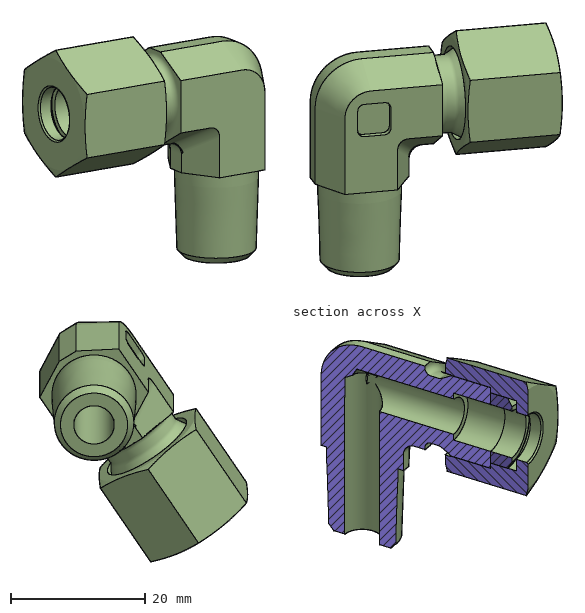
import cadquery as cq
import math


overall_length = 36.22

body_width = 14.0
body_depth = 14.45
arm_end = 10.97
shank_end = 12.0
inner_corner_radius = 2.0
bore_diameter = 6.0
bore_overrun = 0.95
drill_point_angle = 118

pocket_size = 5.1
pocket_corner_radius = 1.0
pocket_depth = 1.0
pocket_center_y = -0.47
pocket_center_z = -0.55

thread_diameter = 12.55
thread_straight_end = 14.05
thread_chamfer_start = 25.0
thread_end = 26.0
thread_tip_diameter = 10.0
thread_taper = 1 / 16

neck_diameter = 11.7
neck_fillet_radius = 1.0
neck_straight_end = 13.33
stud_cone_angle = 30
stud_diameter = 14.0
stud_end = 22.45
tube_stop = 16.0

nut_across_flats = 17.0
nut_start = 14.5
nut_end = overall_length - body_depth / 2
nut_chamfer_angle = 15
tube_hole_diameter = 8.0
tube_hole_mouth_diameter = 8.5
tube_hole_length = 2.1

ferrule_diameter = 12.0
ferrule_face_diameter = 9.6
ferrule_setback = 0.72
ferrule_bevel_angle = 30

corner_margin = 0.18

tube_hole_end = nut_end - tube_hole_length
ferrule_front = tube_hole_end - ferrule_setback


def slope(angle):
    return math.tan(math.radians(angle))


def turned_along_y(points):
    """Solid of revolution about Y from (radius, y) points."""
    return cq.Workplane("XY").polyline(points).close().revolve(360, (0, 0), (0, 1))


def cylinder_along_y(diameter, start, end):
    """Cylinder on the -Y axis between two distances from the origin."""
    return cq.Workplane("XZ").workplane(offset=start).circle(diameter / 2).extrude(end - start)


def arm_section_points():
    """Hexagon with its two points cut off, the points lying along local Y."""
    half_width = body_width / 2
    half_depth = body_depth / 2
    edge = half_width / math.sqrt(3)
    flat = (2 * edge - half_depth) * math.sqrt(3)
    upper = [(half_width, edge), (flat, half_depth), (-flat, half_depth), (-half_width, edge)]
    lower = [(-x, -y) for x, y in upper]
    return upper, lower


def make_elbow_block():
    upper, lower = arm_section_points()
    half_width = body_width / 2
    horizontal = cq.Workplane("XZ").polyline(upper + lower).close().extrude(arm_end)
    vertical = cq.Workplane("XY").polyline(upper + lower).close().extrude(-shank_end)
    half_section = [(half_width, 0)] + upper + [(-half_width, 0)]
    outer_corner = cq.Workplane("XY").polyline(half_section).close().revolve(90, (0, 0), (1, 0))
    block = horizontal.union(vertical).union(outer_corner)
    return fillet_inner_corner(block)


def fillet_inner_corner(block):
    """Round the mitred edges where the undersides of the two arms meet."""
    below_side_edges = -(body_width / 2 / math.sqrt(3) + corner_margin)
    below_flats = -(body_depth / 2 + corner_margin)
    mitre_edges = cq.selectors.BoxSelector(
        (-body_width, below_flats, below_flats),
        (body_width, below_side_edges, below_side_edges),
    )
    return block.edges(mitre_edges).fillet(inner_corner_radius)


def make_thread():
    taper_length = thread_chamfer_start - thread_straight_end
    straight_radius = thread_diameter / 2
    small_radius = straight_radius - taper_length * thread_taper / 2
    profile = [
        (0, 0),
        (straight_radius, 0),
        (straight_radius, -thread_straight_end),
        (small_radius, -thread_chamfer_start),
        (thread_tip_diameter / 2, -thread_end),
        (0, -thread_end),
    ]
    return cq.Workplane("XZ").polyline(profile).close().revolve(360, (0, 0), (0, 1))


def make_neck_and_stud():
    neck_radius = neck_diameter / 2
    stud_radius = stud_diameter / 2
    radius = neck_fillet_radius
    half_turn = math.radians(stud_cone_angle / 2)
    turn = math.radians(stud_cone_angle)

    fillet_middle = (
        neck_radius + radius * (1 - math.cos(half_turn)),
        -neck_straight_end - radius * math.sin(half_turn),
    )
    cone_start = (
        neck_radius + radius * (1 - math.cos(turn)),
        -neck_straight_end - radius * math.sin(turn),
    )
    cone_end_y = cone_start[1] - (stud_radius - cone_start[0]) / slope(stud_cone_angle)

    quarter_bow = radius * (1 - math.sqrt(0.5))
    quarter_end_y = -arm_end - radius
    return (
        cq.Workplane("XY")
        .moveTo(0, -arm_end)
        .lineTo(neck_radius + radius, -arm_end)
        .threePointArc(
            (neck_radius + quarter_bow, -arm_end - quarter_bow),
            (neck_radius, quarter_end_y),
        )
        .lineTo(neck_radius, -neck_straight_end)
        .threePointArc(fillet_middle, cone_start)
        .lineTo(stud_radius, cone_end_y)
        .lineTo(stud_radius, -stud_end)
        .lineTo(0, -stud_end)
        .close()
        .revolve(360, (0, 0), (0, 1))
    )


def make_drilled_bore(plane, start):
    """Bore along local Y from -start to past the origin, with a drill-point end."""
    radius = bore_diameter / 2
    tip = bore_overrun + radius / slope(drill_point_angle / 2)
    profile = [(0, -start), (radius, -start), (radius, bore_overrun), (0, tip)]
    return cq.Workplane(plane).polyline(profile).close().revolve(360, (0, 0), (0, 1))


def make_marking_pocket():
    return (
        cq.Workplane("YZ", origin=(-body_width / 2, pocket_center_y, pocket_center_z))
        .rect(pocket_size, pocket_size)
        .extrude(pocket_depth)
        .edges("|X")
        .fillet(pocket_corner_radius)
    )


def make_elbow():
    elbow = make_elbow_block().union(make_thread()).union(make_neck_and_stud())
    elbow = elbow.cut(make_drilled_bore("XY", stud_end))
    elbow = elbow.cut(cylinder_along_y(tube_hole_diameter, tube_stop, stud_end))
    elbow = elbow.cut(make_drilled_bore("XZ", thread_end))
    return elbow.cut(make_marking_pocket())


def make_nut_chamfer_envelope():
    """Turned blank whose coned ends bevel the corners of the hexagon."""
    face_radius = nut_across_flats / 2
    corner_radius = nut_across_flats / math.sqrt(3)
    bevel = (corner_radius - face_radius) * slope(nut_chamfer_angle)
    return turned_along_y([
        (0, -nut_start),
        (face_radius, -nut_start),
        (corner_radius, -nut_start - bevel),
        (corner_radius, -nut_end + bevel),
        (face_radius, -nut_end),
        (0, -nut_end),
    ])


def make_nut():
    hexagon = (
        cq.Workplane("XZ")
        .workplane(offset=nut_start)
        .polygon(6, nut_across_flats, circumscribed=True)
        .extrude(nut_end - nut_start)
    )
    nut = hexagon.intersect(make_nut_chamfer_envelope())
    nut = nut.cut(cylinder_along_y(stud_diameter, nut_start, stud_end))
    nut = nut.cut(cylinder_along_y(ferrule_diameter, stud_end, tube_hole_end))
    nut = nut.cut(cylinder_along_y(tube_hole_diameter, tube_hole_end, nut_end))
    mouth_chamfer = (tube_hole_mouth_diameter - tube_hole_diameter) / 2
    mouth_edge = cq.selectors.RadiusNthSelector(0)
    return nut.faces("<Y").edges(mouth_edge).chamfer(mouth_chamfer)


def make_ferrule():
    bore_radius = tube_hole_diameter / 2
    face_radius = ferrule_face_diameter / 2
    outer_radius = ferrule_diameter / 2
    bevel = (outer_radius - face_radius) * slope(ferrule_bevel_angle)
    return turned_along_y([
        (bore_radius, -stud_end),
        (outer_radius, -stud_end),
        (outer_radius, -ferrule_front + bevel),
        (face_radius, -ferrule_front),
        (bore_radius, -ferrule_front),
    ])


elbow = make_elbow()
nut = make_nut()
ferrule = make_ferrule()

result = cq.Compound.makeCompound([
    elbow.solids().val(),
    nut.solids().val(),
    ferrule.solids().val(),
])